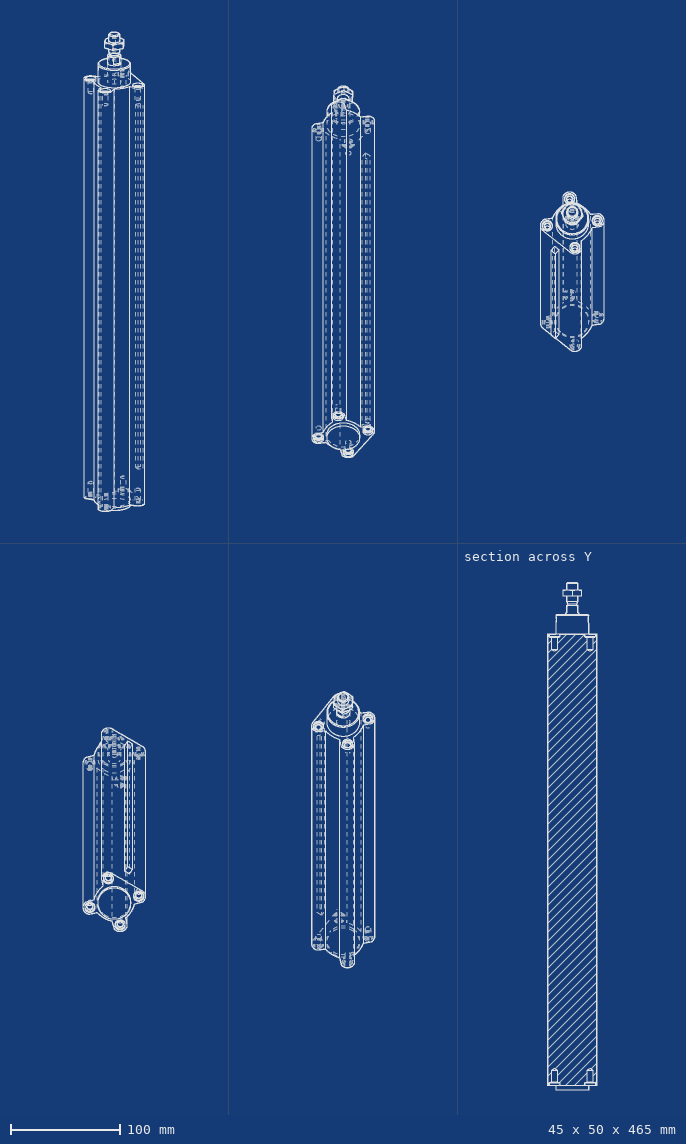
import cadquery as cq
import math

total_length = 465.0
barrel_width = 45.0
half_width = barrel_width / 2

barrel_bottom = 4.0
barrel_top = 417.5
barrel_height = barrel_top - barrel_bottom
bolt_offset = 16.5
corner_radius = half_width - bolt_offset
groove_mouth = 28.0
groove_floor = 16.0
groove_depth = 5.5
floor_bulge = 1.15
mouth_radius = 2.5

recess_diameter = 9.5
recess_depth = 3.0
seat_diameter = 9.0
bolt_hole_diameter = 5.0
bolt_hole_mouth = 6.0
bolt_hole_depth = 14.0
hole_taper = 0.5
drill_tip_angle = 118.0

collar_diameter = 30.0
collar_radius = collar_diameter / 2
neck_top = 436.0
neck_chamfer = 1.0
neck_groove_bottom = 427.5
neck_groove_top = neck_top - neck_chamfer
neck_groove_depth = 0.5

rail_width = 5.0
rail_height = 5.0
rail_bottom = 32.0
rail_top = 390.5

rod_diameter = 12.0
rod_bottom = barrel_top
flats_width = 10.0
flats_bottom = 437.0
flats_top = 443.5
relief_diameter = 8.5
thread_diameter = 10.0
thread_bottom = 445.0
thread_end_height = 2.5
thread_end_depth = (thread_diameter - relief_diameter) / 2
thread_tip_chamfer = 1.0

nut_across_flats = 17.0
nut_bottom = 452.5
nut_height = 5.5
nut_chamfer_angle = 30.0

axis_start = (0, 0)
axis_end = (0, 1)


def plane_at(height):
    return cq.Workplane("XY").workplane(offset=height)


def cylinder(diameter, bottom, top):
    return plane_at(bottom).circle(diameter / 2).extrude(top - bottom)


def make_side_groove():
    """Flared groove with a bulging floor, along the -Y side."""
    floor_y = groove_depth - half_width
    return (
        plane_at(barrel_bottom)
        .moveTo(-groove_mouth / 2, -half_width)
        .lineTo(-groove_floor / 2, floor_y)
        .threePointArc((0, floor_y - floor_bulge), (groove_floor / 2, floor_y))
        .lineTo(groove_mouth / 2, -half_width)
        .close()
        .extrude(barrel_height)
    )


def make_extrusion():
    """Rounded square bar with a groove along its -X, -Y and +X sides."""
    bar = plane_at(barrel_bottom).rect(barrel_width, barrel_width).extrude(barrel_height)
    bar = bar.edges("|Z").fillet(corner_radius)
    groove = make_side_groove()
    for angle in (-90, 0, 90):
        bar = bar.cut(groove.rotate((0, 0, 0), (0, 0, 1), angle))

    half_mouth = groove_mouth / 2
    mouth_edges = []
    for end in (-half_mouth, half_mouth):
        mouth_edges += [(-half_width, end), (end, -half_width), (half_width, end)]
    middle = (barrel_bottom + barrel_top) / 2
    for x, y in mouth_edges:
        edge = cq.selectors.NearestToPointSelector((x, y, middle))
        bar = bar.edges(edge).fillet(mouth_radius)
    return bar


def make_bolt_hole():
    """Recess and cone-bottomed hole going down from the XY plane."""
    hole_radius = bolt_hole_diameter / 2
    tip_height = hole_radius / math.tan(math.radians(drill_tip_angle / 2))
    return (
        cq.Workplane("XZ")
        .lineTo(recess_diameter / 2, 0)
        .lineTo(recess_diameter / 2, hole_taper - recess_depth)
        .lineTo(seat_diameter / 2, -recess_depth)
        .lineTo(bolt_hole_mouth / 2, -recess_depth)
        .lineTo(hole_radius, -recess_depth - hole_taper)
        .lineTo(hole_radius, -bolt_hole_depth)
        .lineTo(0, -bolt_hole_depth - tip_height)
        .close()
        .revolve(360, axis_start, axis_end)
    )


def make_neck():
    """Upper collar with a chamfered rim and a shallow round-bottomed groove around it."""
    neck = cylinder(collar_diameter, barrel_top, neck_top).faces(">Z").chamfer(neck_chamfer)
    groove_middle = (neck_groove_bottom + neck_groove_top) / 2
    groove = (
        cq.Workplane("XZ")
        .moveTo(collar_radius, neck_groove_bottom)
        .threePointArc(
            (collar_radius - neck_groove_depth, groove_middle),
            (collar_radius, neck_groove_top),
        )
        .close()
        .revolve(360, axis_start, axis_end)
    )
    return neck.cut(groove)


def make_rail():
    rail = plane_at(rail_bottom).rect(rail_width, rail_height).extrude(rail_top - rail_bottom)
    return rail.translate((0, half_width + rail_height / 2, 0))


def make_barrel():
    """Barrel with its collars and rail, bored through the neck for the rod."""
    barrel = make_extrusion()
    upper_hole = make_bolt_hole()
    lower_hole = upper_hole.mirror("XY")
    for x in (-bolt_offset, bolt_offset):
        for y in (-bolt_offset, bolt_offset):
            barrel = barrel.cut(upper_hole.translate((x, y, barrel_top)))
            barrel = barrel.cut(lower_hole.translate((x, y, barrel_bottom)))
    barrel = barrel.union(make_rail())
    barrel = barrel.union(cylinder(collar_diameter, 0, barrel_bottom))
    barrel = barrel.union(make_neck())
    return barrel.cut(cylinder(rod_diameter, rod_bottom, neck_top))


def make_rod():
    """Round rod with two wrench flats facing -X and +X, a relief groove and a threaded tip."""
    rod = cylinder(rod_diameter, rod_bottom, flats_bottom)
    flats = plane_at(flats_bottom).rect(flats_width, rod_diameter).extrude(flats_top - flats_bottom)
    rod = rod.union(flats.intersect(cylinder(rod_diameter, flats_bottom, flats_top)))
    rod = rod.union(cylinder(relief_diameter, flats_top, thread_bottom))
    thread = cylinder(thread_diameter, thread_bottom, total_length)
    thread = thread.faces(">Z").chamfer(thread_tip_chamfer)
    thread = thread.faces("<Z").chamfer(thread_end_height, thread_end_depth)
    return rod.union(thread)


def make_nut():
    """Hexagon with two corners along Y, its upper corners trimmed by a cone."""
    across_corners = nut_across_flats / math.cos(math.pi / 6)
    hexagon = (
        plane_at(nut_bottom)
        .transformed(rotate=(0, 0, 90))
        .polygon(6, across_corners)
        .circle(thread_diameter / 2)
        .extrude(nut_height)
    )
    top_radius = nut_across_flats / 2
    bottom_radius = top_radius + nut_height / math.tan(math.radians(nut_chamfer_angle))
    cone = (
        plane_at(nut_bottom)
        .circle(bottom_radius)
        .workplane(offset=nut_height)
        .circle(top_radius)
        .loft()
    )
    return hexagon.intersect(cone)


barrel = make_barrel().solids()
rod = make_rod().solids()
nut = make_nut().solids()
result = cq.Compound.makeCompound([barrel.val(), rod.val(), nut.val()])